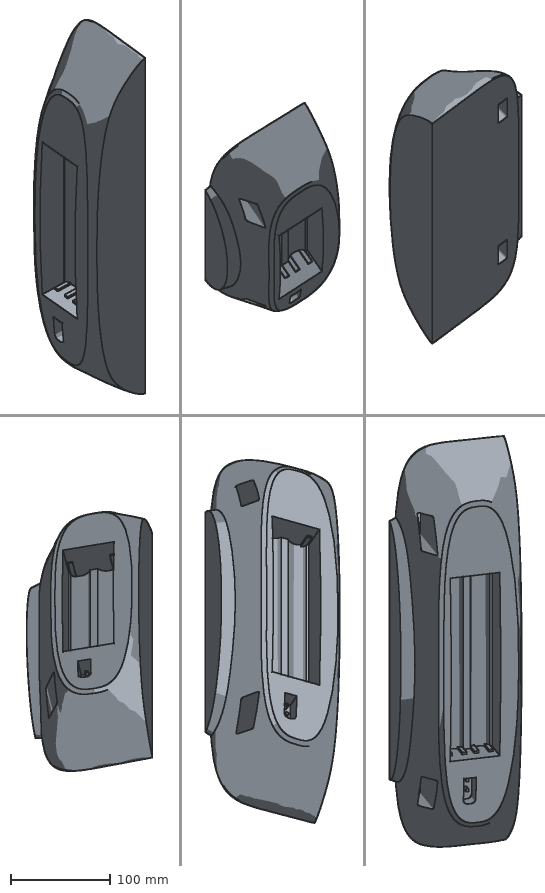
import cadquery as cq
import math

WIDTH = 120.5
HEIGHT = 437.0
DEPTH = 74.3

RIM_DEPTH = 1.5

NOSE_DEPTH = 76.5

BODY_SECTIONS = [
    (RIM_DEPTH, 5.2, 169.5, HEIGHT / 2, 5.4),
    (22.0, 7.5, 155.5, 209.0, 4.0),
    (43.5, 12.5, 148.5, 191.5, 3.0),
    (61.0, 23.0, 124.5, 176.5, 2.7),
    (NOSE_DEPTH, 34.5, 120.5, 162.0, 2.7),
]
POINTS_PER_HALF = 24

FRONT_RADIUS = 1616.5
FRONT_TILT = 1.4
FRONT_HIGH_X = 36.5
FRONT_EDGE_CHAMFER = 3.0

PAD_DEPTH = 43.2
PAD_HALF_HEIGHT = 140.0
PAD_LENGTH = 17.5
PAD_FLARE = 4.0

SLOT_LEFT = 20.5
SLOT_WIDTH = 12.2
SLOT_HEIGHT = 36.5
SLOT_CENTRE_Z = 140.2
SLOT_CORNER_RADIUS = 1.7

POCKET_LEFT = 43.5
POCKET_RIGHT = 96.0
POCKET_HALF_HEIGHT = 99.0
POCKET_FLOOR_DEPTH = 42.5
CHANNEL_RADIUS = 13.0
CHANNEL_AXIS_DEPTH = 50.5
CHANNEL_AXES_X = (55.5, 83.5)

STOP_HEIGHT = 2.0
STOP_INNER = 5.2
STOP_OUTER = 10.0
STOP_FRONT_DEPTH = 56.0
STOPS = [
    (CHANNEL_AXES_X[0], -1, 1),
    (CHANNEL_AXES_X[1], 1, 1),
    (CHANNEL_AXES_X[0], -1, -1),
    (CHANNEL_AXES_X[0], 1, -1),
    (CHANNEL_AXES_X[1], -1, -1),
    (CHANNEL_AXES_X[1], 1, -1),
]

CONNECTOR_X = 65.0
CONNECTOR_WIDTH = 13.0
CONNECTOR_TOP = -120.0
CONNECTOR_BOTTOM = -149.0
CONNECTOR_CORNER_RADIUS = 5.2
CONNECTOR_FLOOR_DEPTH = 52.5
PIN_RADIUS = 1.7
PIN_LENGTH = 6.5
PIN_HEIGHTS = (-126.2, -137.0)


def box(x_range, depth_range, z_range):
    """Block between two X values, two depths and two heights."""
    size = [abs(b - a) for a, b in (x_range, depth_range, z_range)]
    corner = (min(x_range), -max(depth_range), min(z_range))
    return cq.Workplane("XY").box(*size, centered=False).translate(corner)


def plane_at_depth(depth):
    """Work plane facing -Y, with local x along X and local y along Z."""
    return cq.Workplane("XZ", origin=(0, -depth, 0))


def section_wire(depth, left, right, half_height, roundness):
    """Closed superellipse made of an upper and a lower spline meeting at mid-height."""
    centre = (left + right) / 2
    half_width = (right - left) / 2
    power = 2 / roundness

    def half_outline(side):
        points = []
        for i in range(POINTS_PER_HALF + 1):
            angle = math.pi * i / POINTS_PER_HALF
            cosine = round(math.cos(angle), 9)
            sine = round(math.sin(angle), 9)
            across = math.copysign(abs(cosine) ** power, -cosine)
            up = sine**power
            points.append(cq.Vector(centre + half_width * across, -depth, side * half_height * up))
        ends = [cq.Vector(0, 0, side), cq.Vector(0, 0, -side)]
        return cq.Edge.makeSpline(points, tangents=ends)

    return cq.Wire.assembleEdges([half_outline(1), half_outline(-1)])


def make_body():
    """Domed body on a straight rim, cut flat on its right side and bowed at the front."""
    wires = [section_wire(*section) for section in BODY_SECTIONS]
    dome = cq.Workplane(cq.Solid.makeLoft(wires))
    rim_face = cq.Face.makeFromWires(wires[0])
    rim = cq.Workplane(cq.Solid.extrudeLinear(rim_face, cq.Vector(0, RIM_DEPTH, 0)))
    front_cylinder = (
        cq.Workplane("YZ")
        .circle(FRONT_RADIUS)
        .extrude(2 * WIDTH, both=True)
        .translate((0, FRONT_RADIUS - DEPTH, 0))
        .rotate((FRONT_HIGH_X, -DEPTH, 0), (FRONT_HIGH_X, -DEPTH, 1), FRONT_TILT)
    )
    keep = box((0, WIDTH), (0, DEPTH), (-HEIGHT / 2, HEIGHT / 2))
    dome = dome.intersect(front_cylinder)
    dome = dome.faces("<Y").edges().chamfer(FRONT_EDGE_CHAMFER)
    return dome.intersect(keep).union(rim.intersect(keep))


def make_pad():
    """Half-elliptical pad that widens from its flat outer face into the body."""
    pad = (
        cq.Workplane("YZ")
        .ellipse(PAD_DEPTH, PAD_HALF_HEIGHT)
        .workplane(offset=PAD_LENGTH)
        .ellipse(PAD_DEPTH + PAD_FLARE, PAD_HALF_HEIGHT + 2 * PAD_FLARE)
        .loft()
    )
    return pad.intersect(box((0, PAD_LENGTH), (RIM_DEPTH, DEPTH), (-HEIGHT / 2, HEIGHT / 2)))


def make_slot(centre_z):
    """Round-cornered slot running from the back through the front."""
    return (
        plane_at_depth(0)
        .center(SLOT_LEFT + SLOT_WIDTH / 2, centre_z)
        .rect(SLOT_WIDTH, SLOT_HEIGHT)
        .extrude(DEPTH)
        .edges("|Y")
        .fillet(SLOT_CORNER_RADIUS)
    )


def make_stop(axis_x, side, end):
    """Small block in one side of a channel, against the upper (end = 1) or lower end wall."""
    x_range = (axis_x + side * STOP_INNER, axis_x + side * STOP_OUTER)
    z_range = (end * (POCKET_HALF_HEIGHT - STOP_HEIGHT), end * POCKET_HALF_HEIGHT)
    return box(x_range, (CHANNEL_AXIS_DEPTH - CHANNEL_RADIUS, STOP_FRONT_DEPTH), z_range)


def make_pocket():
    """Rectangular pocket with a round channel in its floor along each tube axis."""
    z_range = (-POCKET_HALF_HEIGHT, POCKET_HALF_HEIGHT)
    pocket = box((POCKET_LEFT, POCKET_RIGHT), (POCKET_FLOOR_DEPTH, DEPTH), z_range)
    bounds = box((POCKET_LEFT, POCKET_RIGHT), (0, DEPTH), z_range)
    for axis_x in CHANNEL_AXES_X:
        channel = (
            cq.Workplane("XY", origin=(axis_x, -CHANNEL_AXIS_DEPTH, 0))
            .circle(CHANNEL_RADIUS)
            .extrude(POCKET_HALF_HEIGHT, both=True)
        )
        pocket = pocket.union(channel.intersect(bounds))
    return pocket


def make_connector():
    """Recess with square upper corners and rounded lower corners, less its two pins."""
    recess = box(
        (CONNECTOR_X - CONNECTOR_WIDTH / 2, CONNECTOR_X + CONNECTOR_WIDTH / 2),
        (CONNECTOR_FLOOR_DEPTH, DEPTH),
        (CONNECTOR_BOTTOM, CONNECTOR_TOP),
    )
    recess = recess.faces("<Z").edges("|Y").fillet(CONNECTOR_CORNER_RADIUS)
    pins = (
        plane_at_depth(CONNECTOR_FLOOR_DEPTH)
        .pushPoints([(CONNECTOR_X, z) for z in PIN_HEIGHTS])
        .circle(PIN_RADIUS)
        .extrude(PIN_LENGTH)
    )
    return recess.cut(pins)


part = make_body().union(make_pad())
part = part.cut(make_pocket()).cut(make_connector())
for slot_z in (SLOT_CENTRE_Z, -SLOT_CENTRE_Z):
    part = part.cut(make_slot(slot_z))
for channel_x, channel_side, channel_end in STOPS:
    part = part.union(make_stop(channel_x, channel_side, channel_end))

result = part.solids()